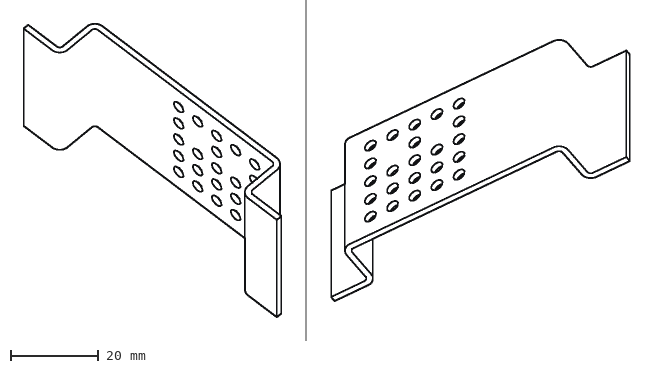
import cadquery as cq

length = 80.0
depth = 13.0
height = 36.0

thickness = 1.5
inner_bend = 1.0
outer_bend = inner_bend + thickness
channel_width = 60.0

end = length / 2
wall_outer = channel_width / 2
wall_inner = wall_outer - thickness
front = -depth / 2
back = depth / 2
flange_back = front + thickness
panel_front = back - thickness

hole_diameter = 3.0
hole_pitch = 6.0
holes_per_side = 5
grid_center_x = 10.0
skipped_holes = {(1, 3), (3, 3)}


def hat_profile():
    """Closed outline of the sheet in the XY plane, with sharp bends."""
    return cq.Workplane("XY").workplane(offset=-height / 2).polyline([
        (-end, front),
        (-wall_inner, front),
        (-wall_inner, panel_front),
        (wall_inner, panel_front),
        (wall_inner, front),
        (end, front),
        (end, flange_back),
        (wall_outer, flange_back),
        (wall_outer, back),
        (-wall_outer, back),
        (-wall_outer, flange_back),
        (-end, flange_back),
    ]).close()


def bend_edges(body, x, y):
    """The upright edges at the mirrored positions -x and +x on plane y."""
    points = [(-x, y, 0), (x, y, 0)]
    edges = body.edges(cq.selectors.NearestToPointSelector(points[0]))
    return edges.add(body.edges(cq.selectors.NearestToPointSelector(points[1])))


def bent_sheet():
    """Hat section with concentric inner and outer radii at its four bends."""
    body = hat_profile().extrude(height)
    body = bend_edges(body, wall_outer, back).fillet(outer_bend)
    body = bend_edges(body, wall_inner, panel_front).fillet(inner_bend)
    body = bend_edges(body, wall_inner, front).fillet(outer_bend)
    return bend_edges(body, wall_outer, flange_back).fillet(inner_bend)


def hole_centers():
    """X, Z centres of the holes that are present in the grid."""
    middle = (holes_per_side - 1) / 2
    return [
        (grid_center_x + (column - middle) * hole_pitch, (row - middle) * hole_pitch)
        for column in range(holes_per_side)
        for row in range(holes_per_side)
        if (column, row) not in skipped_holes
    ]


def hole_cutters():
    """Cylinders along Y, long enough to pass through the back panel."""
    plane = cq.Workplane("XZ").pushPoints(hole_centers())
    return plane.circle(hole_diameter / 2).extrude(depth, both=True)


result = bent_sheet().cut(hole_cutters())